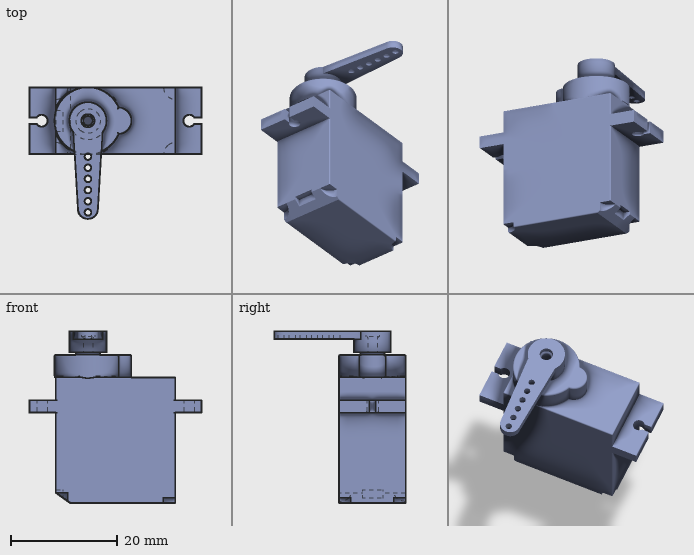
import cadquery as cq
import math


case_length = 22.55
case_width = 12.6
case_height = 23.7
case_rounding = 0.2

tab_span = 32.4
tab_bottom = 17.05
tab_thickness = 2.35
tab_rounding = 0.15
screw_hole_diameter = 2.2
screw_hole_spacing = 27.8
screw_slot_width = 1.2

bevel_length = 2.8
bevel_height = 2.0
corner_notch_radius = 2.25
front_notch_height = bevel_height
rear_notch_height = 1.0
cable_width = 3.9
cable_top = 2.55
cable_depth = 1.3

axis_x = -5.19
gear_top = 27.9
gear_radius = case_width / 2
gear_rounding = 0.3
flare = 0.2
lobe_radius = 2.5
lobe_offset = 5.69

shaft_diameter = 4.6
shaft_gap = 0.5

horn_top = 32.4
horn_bottom = gear_top + shaft_gap
hub_radius = 3.5
arm_thickness = 1.5
arm_tip_y = -18.5
arm_tip_radius = 1.9
arm_root_half_width = 2.75
arm_hole_diameter = 1.2
arm_hole_count = 6
arm_hole_pitch = 2.1
first_arm_hole_y = -6.75
head_hole_diameter = 2.5
head_hole_depth = 1.0
hub_hole_diameter = 1.8


def block(x_min, x_max, width, z_min, z_max):
    """Box between two X and two Z positions, centred on Y = 0."""
    return (
        cq.Workplane("XY", origin=((x_min + x_max) / 2, 0, z_min))
        .box(x_max - x_min, width, z_max - z_min, centered=(True, True, False))
    )


def cylinder(x, y, radius, z_min, z_max):
    """Upright cylinder between two Z positions."""
    return cq.Workplane("XY", origin=(x, y, z_min)).circle(radius).extrude(z_max - z_min)


def make_box():
    """Case box with all its edges slightly rounded."""
    box = block(-case_length / 2, case_length / 2, case_width, 0, case_height)
    return box.edges().fillet(case_rounding)


def make_tabs():
    """Mounting plate through the case, with an open screw slot at each end."""
    tab_top = tab_bottom + tab_thickness
    plate = block(-tab_span / 2, tab_span / 2, case_width, tab_bottom, tab_top)
    plate = plate.faces(">X").edges("|Y").fillet(tab_rounding)
    for side in (-1, 1):
        hole_x = side * screw_hole_spacing / 2
        end_x = side * tab_span / 2
        hole = cylinder(hole_x, 0, screw_hole_diameter / 2, tab_bottom, tab_top)
        slot = block(min(hole_x, end_x), max(hole_x, end_x), screw_slot_width, tab_bottom, tab_top)
        plate = plate.cut(hole).cut(slot)
    return plate


def make_underside_cuts():
    """Bevel, cable recess and four round corner notches under the case."""
    left_x = -case_length / 2
    cuts = (
        cq.Workplane("XZ", origin=(0, case_width / 2, 0))
        .polyline([(left_x, 0), (left_x + bevel_length, 0), (left_x, bevel_height)])
        .close()
        .extrude(case_width)
    )
    cuts = cuts.union(block(left_x, left_x + cable_depth, cable_width, 0, cable_top))
    for side_x, height in ((-1, front_notch_height), (1, rear_notch_height)):
        for side_y in (-1, 1):
            notch = cylinder(side_x * case_length / 2, side_y * case_width / 2, corner_notch_radius, 0, height)
            cuts = cuts.union(notch)
    return cuts


def make_gear_housing():
    """Round gear cover with a small side lobe, rounded along its top edge."""
    cover = cylinder(axis_x, 0, gear_radius, case_height, gear_top)
    cover = cover.faces(">Z").edges().fillet(gear_rounding)
    lobe = cylinder(axis_x + lobe_offset, 0, lobe_radius, case_height, gear_top)
    lobe = lobe.faces(">Z").edges().fillet(gear_rounding)
    return cover.union(lobe)


def make_gear_root():
    """Disc that fills the rounded case edges under the gear cover, inside the case sides."""
    root_bottom = case_height - case_rounding
    disc = cylinder(axis_x, 0, gear_radius, root_bottom, case_height)
    return disc.intersect(block(-case_length / 2, case_length / 2, case_width, root_bottom, case_height))


def make_flare():
    """Concave fillet at the foot of the gear cover, kept inside the flat top of the case."""
    diagonal = flare * (1 - math.sqrt(0.5))
    ring = (
        cq.Workplane("XZ", origin=(axis_x, 0, 0))
        .moveTo(gear_radius - flare, case_height)
        .lineTo(gear_radius + flare, case_height)
        .threePointArc(
            (gear_radius + diagonal, case_height + diagonal),
            (gear_radius, case_height + flare),
        )
        .lineTo(gear_radius - flare, case_height + flare)
        .close()
        .revolve(360, (0, 0, 0), (0, 1, 0))
    )
    flat_x = case_length / 2 - case_rounding
    flat_width = case_width - 2 * case_rounding
    return ring.intersect(block(-flat_x, flat_x, flat_width, case_height, gear_top))


def make_servo():
    """Case, tabs, gear housing and output shaft as one solid."""
    servo = make_box().cut(make_underside_cuts())
    servo = servo.union(make_tabs()).union(make_gear_root())
    servo = servo.union(make_gear_housing()).union(make_flare())
    return servo.union(cylinder(axis_x, 0, shaft_diameter / 2, gear_top, horn_bottom))


def make_arm():
    """Tapered arm with a round tip and a row of linkage holes."""
    tip_center_y = arm_tip_y + arm_tip_radius
    root_y = -math.sqrt(hub_radius**2 - arm_root_half_width**2)
    arm_bottom = horn_top - arm_thickness
    arm = (
        cq.Workplane("XY", origin=(axis_x, 0, arm_bottom))
        .moveTo(0, 0)
        .lineTo(-arm_root_half_width, root_y)
        .lineTo(-arm_tip_radius, tip_center_y)
        .threePointArc((0, arm_tip_y), (arm_tip_radius, tip_center_y))
        .lineTo(arm_root_half_width, root_y)
        .close()
        .extrude(arm_thickness)
    )
    for index in range(arm_hole_count):
        hole_y = first_arm_hole_y - index * arm_hole_pitch
        arm = arm.cut(cylinder(axis_x, hole_y, arm_hole_diameter / 2, arm_bottom, horn_top))
    return arm


def make_hub_hole():
    """Screw hole right through the hub, its lip rounded below a wider hole for the screw head."""
    lip_z = horn_top - head_hole_depth
    head_radius = head_hole_diameter / 2
    screw_radius = hub_hole_diameter / 2
    lip_rounding = head_radius - screw_radius
    lip_diagonal = lip_rounding * math.sqrt(0.5)
    return (
        cq.Workplane("XZ", origin=(axis_x, 0, 0))
        .moveTo(0, horn_bottom)
        .lineTo(screw_radius, horn_bottom)
        .lineTo(screw_radius, lip_z - lip_rounding)
        .threePointArc(
            (head_radius - lip_diagonal, lip_z - lip_rounding + lip_diagonal),
            (head_radius, lip_z),
        )
        .lineTo(head_radius, horn_top)
        .lineTo(0, horn_top)
        .close()
        .revolve(360, (0, 0, 0), (0, 1, 0))
    )


def make_horn():
    """Hub and arm as one solid, with the screw hole through the hub."""
    hub = cylinder(axis_x, 0, hub_radius, horn_bottom, horn_top)
    return hub.union(make_arm()).cut(make_hub_hole())


servo = make_servo()
horn = make_horn()
result = cq.Compound.makeCompound([servo.val(), horn.val()])